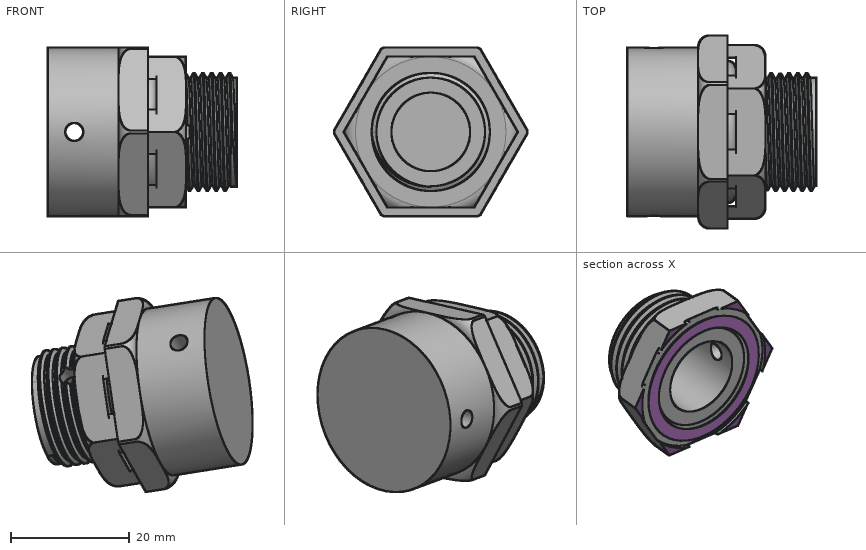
import cadquery as cq
import math

total_length = 32.0
corner_rounding = 2.0

cap_diameter = 28.58
cap_drum_length = 12.0
cap_length = 17.0
cap_across_flats = cap_diameter
cap_corner_diameter = 32.7
cap_hole_diameter = 3.0
cap_hole_x = 4.5

nut_across_flats = 25.5
nut_end = 23.4
recess_diameter = 26.2
recess_depth = 1.4

ring_section_radius = 1.35
ring_outer_diameter = 24.1

thread_major_diameter = 20.0
thread_pitch = 1.5
thread_flank_angle = 30.0
thread_profile_height = thread_pitch / 2 / math.tan(math.radians(thread_flank_angle))
thread_depth = thread_profile_height * 5 / 8
thread_minor_diameter = thread_major_diameter - 2 * thread_depth
thread_crest_width = thread_pitch / 8
thread_turns = 6
thread_root_overlap = 0.2
runout_start = 31.13
runout_turns = 0.25
runout_offset = 0.74
tube_bore_diameter = 13.3
vent_diameter = 3.0
near_vent_x = 22.83
far_vent_x = 25.5

recess_floor = cap_length + recess_depth
ring_mean_radius = ring_outer_diameter / 2 - ring_section_radius


def rod(start, end, diameter):
    """A cylinder along X between two X positions."""
    return cq.Workplane("YZ", origin=(start, 0, 0)).circle(diameter / 2).extrude(end - start)


def across_corners(across_flats):
    return across_flats / math.cos(math.radians(30))


def hexagon(start, end, across_flats):
    """A hexagonal prism along X with flats facing +Z and -Z."""
    outline = cq.Workplane("YZ", origin=(start, 0, 0)).polygon(6, across_corners(across_flats))
    return outline.extrude(end - start)


def cross_hole(x, start_y, end_y, diameter):
    """A round cutter along Y between two Y positions."""
    plane = cq.Plane(origin=(x, start_y, 0), xDir=(1, 0, 0), normal=(0, 1, 0))
    return cq.Workplane(plane).circle(diameter / 2).extrude(end_y - start_y)


def make_ring():
    return cq.Workplane(
        cq.Solid.makeTorus(
            ring_mean_radius, ring_section_radius, cq.Vector(cap_length, 0, 0), cq.Vector(1, 0, 0)
        )
    )


def make_cap(ring):
    """A solid drum and flange, cross-drilled, with a groove that seats the ring."""
    corner_limit = rod(cap_drum_length, cap_length, cap_corner_diameter)
    corner_limit = corner_limit.faces("<X").edges().fillet(corner_rounding)
    flange = hexagon(cap_drum_length, cap_length, cap_across_flats).intersect(corner_limit)
    drum = rod(0, cap_length, cap_diameter)
    hole = cross_hole(cap_hole_x, -cap_diameter, cap_diameter, cap_hole_diameter)
    return drum.union(flange).cut(hole).cut(ring)


def make_nut():
    corner_limit = rod(cap_length, nut_end, across_corners(nut_across_flats))
    corner_limit = corner_limit.faces(">X").edges().fillet(corner_rounding)
    body = hexagon(cap_length, nut_end, nut_across_flats).intersect(corner_limit)
    recess = rod(cap_length, recess_floor, recess_diameter)
    tube_hole = rod(recess_floor, nut_end, thread_minor_diameter)
    return body.cut(recess).cut(tube_hole)


def helical_ridge(turns, start_x):
    """A thread ridge winding along X, starting on the -Y side at start_x."""
    root_radius = thread_minor_diameter / 2 - thread_root_overlap
    crest_radius = thread_major_diameter / 2
    half_crest = thread_crest_width / 2
    half_root = half_crest + (crest_radius - root_radius) * math.tan(math.radians(thread_flank_angle))
    path = cq.Wire.makeHelix(thread_pitch, turns * thread_pitch, root_radius)
    ridge = (
        cq.Workplane("XZ")
        .polyline(
            [
                (root_radius, -half_root),
                (crest_radius, -half_crest),
                (crest_radius, half_crest),
                (root_radius, half_root),
            ]
        )
        .close()
        .sweep(cq.Workplane(path), isFrenet=True)
    )
    ridge = ridge.rotate((0, 0, 0), (0, 1, 0), 90).rotate((0, 0, 0), (1, 0, 0), -90)
    return ridge.translate((start_x, 0, 0))


def make_thread_ridge():
    """The full-height ridge, trimmed where the tube enters the nut."""
    ridge = helical_ridge(thread_turns, runout_start - thread_turns * thread_pitch)
    return ridge.intersect(rod(nut_end, total_length, 2 * thread_major_diameter))


def make_thread_runout():
    """A quarter turn from -Y to -Z in which the crest sinks almost to the root."""
    crest_radius = thread_major_diameter / 2
    limit_radius = math.hypot(crest_radius, runout_offset)
    limit = rod(nut_end, total_length, 2 * limit_radius).translate((0, 0, runout_offset))
    return helical_ridge(runout_turns, runout_start).intersect(limit)


def make_tube():
    body = rod(recess_floor, total_length, thread_minor_diameter)
    bore = rod(recess_floor, total_length, tube_bore_diameter)
    near_vent = cross_hole(near_vent_x, -thread_major_diameter, 0, vent_diameter)
    far_vent = cross_hole(far_vent_x, 0, thread_major_diameter, vent_diameter)
    return body.union(make_thread_ridge()).union(make_thread_runout()).cut(bore).cut(near_vent).cut(far_vent)


ring = make_ring()
cap = make_cap(ring)
nut = make_nut()
tube = make_tube()

result = cq.Compound.makeCompound([cap.val(), ring.val(), nut.val(), tube.val()])